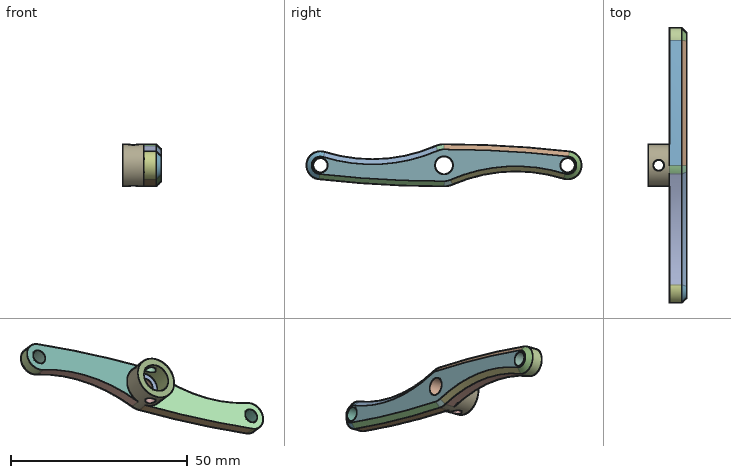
import cadquery as cq
import math

arm_length = 35.0
hub_diameter = 12.0
hub_radius = hub_diameter / 2
end_radius = 4.0
plate_thickness = 5.0
plate_chamfer = 1.5
hub_length = 6.0
concave_radius = 45.0

bore_diameter = 8.0
shaft_hole_diameter = 5.0
end_hole_diameter = 4.0
set_screw_diameter = 3.0

convex_radius = (arm_length**2 + hub_radius**2 - end_radius**2) / (2 * (hub_radius - end_radius))


def point_towards(center, target, distance):
    """Point at a signed distance from center along the line to target."""
    dy = target[0] - center[0]
    dz = target[1] - center[1]
    ratio = distance / math.hypot(dy, dz)
    return (center[0] + dy * ratio, center[1] + dz * ratio)


def half_turn(point):
    return (-point[0], -point[1])


def lever_outline():
    """Closed (Y, Z) outline of tangent arcs, unchanged by a half turn about the hub."""
    hub_center = (0.0, 0.0)
    end_center = (arm_length, 0.0)

    convex_center = (0.0, hub_radius - convex_radius)
    convex_start = (0.0, hub_radius)
    convex_end = point_towards(convex_center, end_center, convex_radius)
    convex_mid = point_towards(convex_center, (arm_length / 2, hub_radius), convex_radius)

    to_hub = concave_radius + hub_radius
    to_end = concave_radius + end_radius
    concave_y = (arm_length**2 + to_hub**2 - to_end**2) / (2 * arm_length)
    concave_center = (concave_y, -math.sqrt(to_hub**2 - concave_y**2))
    concave_start = point_towards(end_center, concave_center, end_radius)
    concave_mid = (concave_center[0], concave_center[1] + concave_radius)
    concave_end = point_towards(hub_center, concave_center, hub_radius)

    hub_low = half_turn(convex_start)
    hub_chord_mid = ((concave_end[0] + hub_low[0]) / 2, (concave_end[1] + hub_low[1]) / 2)
    hub_mid = point_towards(hub_center, hub_chord_mid, hub_radius)

    end_tip = (arm_length + end_radius, 0.0)
    arm_arcs = [
        (convex_mid, convex_end),
        (end_tip, concave_start),
        (concave_mid, concave_end),
        (hub_mid, hub_low),
    ]

    outline = cq.Workplane("YZ").moveTo(*convex_start)
    for middle, finish in arm_arcs:
        outline = outline.threePointArc(middle, finish)
    for middle, finish in arm_arcs:
        outline = outline.threePointArc(half_turn(middle), half_turn(finish))
    return outline.close()


def make_plate():
    plate = lever_outline().extrude(plate_thickness)
    return plate.faces(">X").edges().chamfer(plate_chamfer)


def make_hub():
    return cq.Workplane("YZ").circle(hub_radius).extrude(-hub_length)


def make_end_holes():
    centers = [(-arm_length, 0), (arm_length, 0)]
    return cq.Workplane("YZ").pushPoints(centers).circle(end_hole_diameter / 2).extrude(plate_thickness)


def make_hub_bore():
    bore = cq.Workplane("YZ").circle(bore_diameter / 2).extrude(-hub_length)
    shaft_hole = cq.Workplane("YZ").circle(shaft_hole_diameter / 2).extrude(plate_thickness)
    return bore.union(shaft_hole)


def make_set_screw_hole():
    start_plane = cq.Workplane("XY", origin=(-hub_length / 2, 0, -hub_diameter))
    return start_plane.circle(set_screw_diameter / 2).extrude(2 * hub_diameter)


result = make_plate().union(make_hub())
result = result.cut(make_end_holes()).cut(make_hub_bore()).cut(make_set_screw_hole())